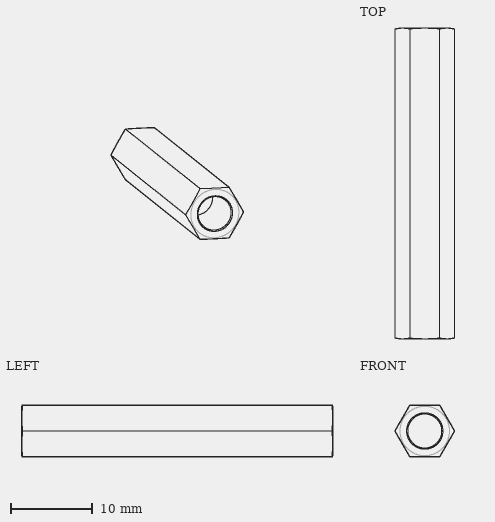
import cadquery as cq
import math

LENGTH = 38.1
ACROSS_FLATS = 6.35
HEX_SIDES = 6
HEX_HALF_ANGLE = 180 / HEX_SIDES
ACROSS_CORNERS = ACROSS_FLATS / math.cos(math.radians(HEX_HALF_ANGLE))

END_FACE_DIAMETER = 6.06
CORNER_BEVEL_ANGLE = 11.0

HOLE_DIAMETER = 4.17
HOLE_DEPTH = 9.525
COUNTERSINK_DIAMETER = 4.45
COUNTERSINK_ANGLE = 45.0


def cone_length(large_diameter, small_diameter, angle):
    """Axial length of a cone whose side leans `angle` degrees from the end plane."""
    return (large_diameter - small_diameter) / 2 * math.tan(math.radians(angle))


def make_hex_bar():
    """Hexagonal bar with flats at the top and bottom."""
    return (
        cq.Workplane("XZ")
        .polygon(HEX_SIDES, ACROSS_CORNERS)
        .extrude(LENGTH / 2, both=True)
    )


def make_bevel_envelope():
    """Solid of revolution that trims the hexagon corners at both ends."""
    corner_radius = ACROSS_CORNERS / 2
    end_radius = END_FACE_DIAMETER / 2
    half_length = LENGTH / 2
    shoulder = half_length - cone_length(ACROSS_CORNERS, END_FACE_DIAMETER, CORNER_BEVEL_ANGLE)
    return (
        cq.Workplane("XY")
        .moveTo(0, -half_length)
        .lineTo(end_radius, -half_length)
        .lineTo(corner_radius, -shoulder)
        .lineTo(corner_radius, shoulder)
        .lineTo(end_radius, half_length)
        .lineTo(0, half_length)
        .close()
        .revolve(360, (0, 0, 0), (0, 1, 0))
    )


def make_front_hole():
    """Flat-bottomed, countersunk hole entering from the -Y end."""
    mouth = -LENGTH / 2
    sink_depth = cone_length(COUNTERSINK_DIAMETER, HOLE_DIAMETER, COUNTERSINK_ANGLE)
    return (
        cq.Workplane("XY")
        .moveTo(0, mouth)
        .lineTo(COUNTERSINK_DIAMETER / 2, mouth)
        .lineTo(HOLE_DIAMETER / 2, mouth + sink_depth)
        .lineTo(HOLE_DIAMETER / 2, mouth + HOLE_DEPTH)
        .lineTo(0, mouth + HOLE_DEPTH)
        .close()
        .revolve(360, (0, 0, 0), (0, 1, 0))
    )


front_hole = make_front_hole()
back_hole = front_hole.mirror("XZ")
result = make_hex_bar().intersect(make_bevel_envelope()).cut(front_hole).cut(back_hole)